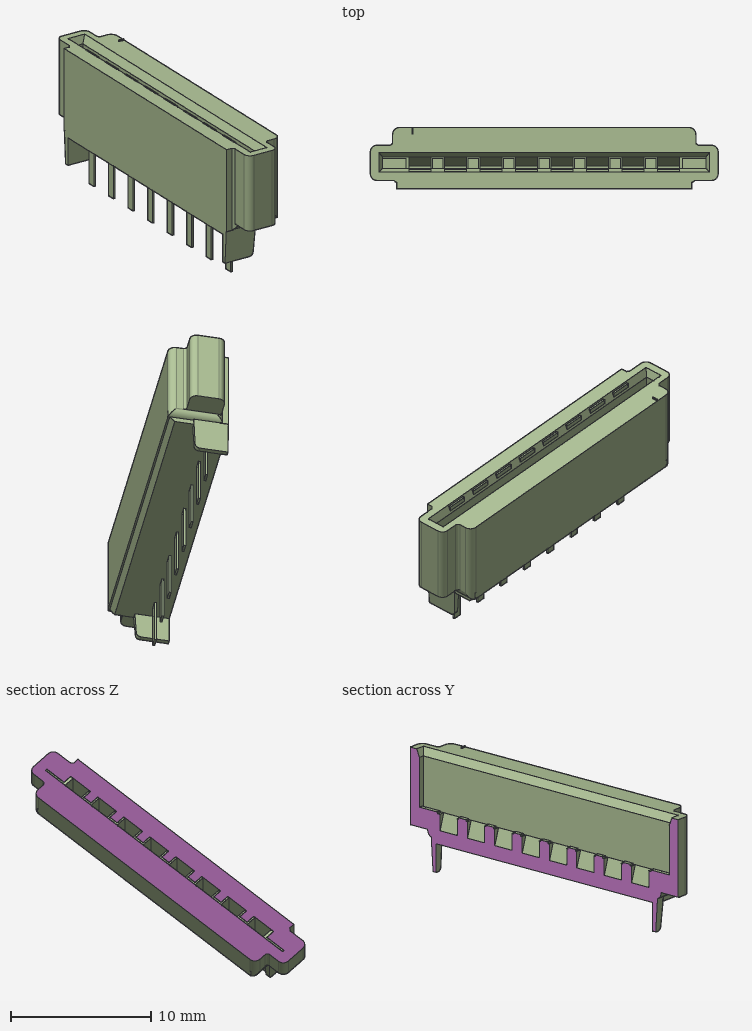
import cadquery as cq
length = 24.85
depth = 4.4

block_half = 10.83
block_front = 0.4
front_half = 10.53
block_bottom = -6.43
block_round = 0.52
ear_front = 0.6
ear_back = 3.13
ear_bottom = -5.89
ear_round = 0.5
inner_round = 0.22
base_half = 10.4
base_bottom = -6.8
base_chamfer = 0.5

leg_bottom = -8.97
leg_inner = 10.0
leg_outer_foot = 10.33
leg_back = 2.55
leg_back_foot = 2.38
leg_round = 0.35

rim_half = 11.8
rim_front = 1.2
rim_back = 2.6
slot_half = 11.55
slot_front = 1.47
slot_back = 2.29
lead_in = 0.6
slot_floor = -4.47
plateau_inset = 0.12
plateau_height = 0.12
end_ledge = 0.22

contact_count = 8
pitch = 2.53
cavity_width = 1.56
cavity_ledge = 0.17
cavity_floor = -6.43
contact_front = 1.25
contact_thick = 0.15
contact_top = -0.1
pin_width = 0.65
pin_bottom = -10.38

mark_x = -9.4
mark_width = 0.07
mark_length = 0.42
mark_gap = 0.05
mark_height = 0.1

contact_xs = [(i - (contact_count - 1) / 2) * pitch for i in range(contact_count)]


def block(x0, x1, y0, y1, z0, z1):
    """Axis-aligned block between two opposite corners."""
    return cq.Workplane("XY").box(x1 - x0, y1 - y0, z1 - z0, centered=False).translate((x0, y0, z0))


def edges_at(x, y, body):
    """Vertical edges at (x, y) and (-x, y)."""
    near = 0.02
    picked = body.edges(cq.selectors.BoxSelector((x - near, y - near, -length), (x + near, y + near, length)))
    return picked.add(
        body.edges(cq.selectors.BoxSelector((-x - near, y - near, -length), (-x + near, y + near, length)))
    )


def make_block():
    """Main block with rounded corners and lower end edges."""
    plan = block(-block_half, block_half, block_front, depth, block_bottom, 0)
    plan = plan.edges("|Z").fillet(block_round)
    profile = block(-block_half, block_half, block_front, depth, block_bottom, 0)
    profile = profile.edges("|Y and <Z").fillet(block_round)
    return plan.intersect(profile)


def make_base():
    """Lower part of the block, chamfered along its back edge."""
    base = block(-base_half, base_half, 0, depth, base_bottom, ear_bottom)
    return base.edges(">Y and <Z").chamfer(base_chamfer)


def make_leg():
    """Right-hand leg: tapered on its outer side and its back, rounded at the foot."""
    front_outline = (
        cq.Workplane("XZ")
        .polyline([
            (leg_inner, ear_bottom),
            (front_half, ear_bottom),
            (leg_outer_foot, leg_bottom),
            (leg_inner, leg_bottom),
        ])
        .close()
        .extrude(-depth)
    )
    side_outline = (
        cq.Workplane("YZ")
        .polyline([(0, ear_bottom), (leg_back, ear_bottom), (leg_back_foot, leg_bottom), (0, leg_bottom)])
        .close()
        .extrude(length / 2)
        .edges("|X and <Z")
        .edges(">Y")
        .fillet(leg_round)
    )
    return front_outline.intersect(side_outline)


def make_housing():
    """Block, ears, front plate, base and legs without the slot."""
    ears = block(-length / 2, length / 2, ear_front, ear_back, ear_bottom, 0).edges("|Z").fillet(ear_round)
    body = make_block().union(ears)
    body = edges_at(block_half, ear_back, body).fillet(inner_round)
    leg = make_leg()
    front_plate = block(-front_half, front_half, 0, ear_front, block_bottom, 0)
    return body.union(front_plate).union(make_base()).union(leg).union(leg.mirror("YZ"))


def make_slot():
    """Card slot with a sloped entry on all four sides."""
    rim_centre = (rim_front + rim_back) / 2
    slot_centre = (slot_front + slot_back) / 2
    entry = (
        cq.Workplane("XY")
        .center(0, rim_centre)
        .rect(2 * rim_half, rim_back - rim_front)
        .workplane(offset=-lead_in)
        .center(0, slot_centre - rim_centre)
        .rect(2 * slot_half, slot_back - slot_front)
        .loft(ruled=True)
    )
    return entry.union(block(-slot_half, slot_half, slot_front, slot_back, slot_floor, -lead_in))


def make_cavity(x):
    """Pocket below the slot floor: a slope falling from the back wall to a narrow flat at the front."""
    return (
        cq.Workplane("YZ")
        .polyline([
            (slot_front, slot_floor),
            (slot_back, slot_floor),
            (slot_front + cavity_ledge, cavity_floor),
            (slot_front, cavity_floor),
        ])
        .close()
        .extrude(cavity_width)
        .translate((x - cavity_width / 2, 0, 0))
    )


def make_plateau(x0, x1):
    """Raised pad on the slot floor, against the front wall."""
    return block(x0, x1, slot_front, slot_back - plateau_inset, slot_floor, slot_floor + plateau_height)


def make_contact(x):
    """Flat contact blade along the front wall of the slot, with a solder pin below."""
    contact_back = contact_front + contact_thick
    blade = block(x - cavity_width / 2, x + cavity_width / 2, contact_front, contact_back, base_bottom, contact_top)
    pin = block(x - pin_width / 2, x + pin_width / 2, contact_front, contact_back, pin_bottom, base_bottom)
    return blade.union(pin)


result = make_housing().cut(make_slot())

for contact_x in contact_xs:
    result = result.cut(make_cavity(contact_x))
    result = result.union(make_contact(contact_x))

plateau_reach = cavity_width / 2 + plateau_inset
for left_x, right_x in zip(contact_xs, contact_xs[1:]):
    result = result.union(make_plateau(left_x + plateau_reach, right_x - plateau_reach))
end_plateau_start = contact_xs[-1] + cavity_width / 2 + end_ledge
result = result.union(make_plateau(-slot_half, -end_plateau_start))
result = result.union(make_plateau(end_plateau_start, slot_half))

mark_back = depth - mark_gap
result = result.union(
    block(mark_x - mark_width / 2, mark_x + mark_width / 2, mark_back - mark_length, mark_back, 0, mark_height)
)